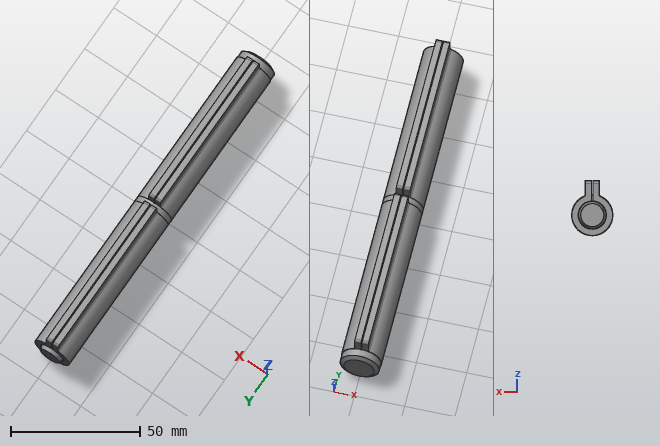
import cadquery as cq
import math


barrel_diameter = 16.0
barrel_bore = 11.0
sheet_thickness = (barrel_diameter - barrel_bore) / 2
leaf_length = 68.0
leg_gap = 0.5
leg_outer_x = leg_gap / 2 + sheet_thickness
overall_height = 21.3
leg_top_z = overall_height - barrel_diameter / 2
leg_root_radius = 0.7
leg_corner_radius = 1.0

pin_diameter = 10.7
tip_diameter = 9.0
tip_taper_length = 2.9
head_diameter = 15.5
head_length = 4.0
head_chamfer_length = 1.0
head_chamfer_depth = 1.7

washer_diameter = barrel_diameter
washer_thickness = 2.5

overall_length = 144.0
head_end_y = -overall_length / 2
tip_end_y = overall_length / 2
front_leaf_y = head_end_y + head_length
washer_y = front_leaf_y + leaf_length
back_leaf_y = washer_y + washer_thickness


def cylinder_along_y(diameter, start_y, length):
    """Cylinder on the pin axis that runs from start_y toward +Y."""
    plane = cq.Workplane("XZ", origin=(0, start_y, 0))
    return plane.circle(diameter / 2).extrude(-length)


def box_along_y(width, bottom_z, top_z, start_y, length):
    """Box centred on X = 0 that runs from start_y toward +Y."""
    size = (width, length, top_z - bottom_z)
    return cq.Workplane("XY", origin=(0, start_y, bottom_z)).box(*size, centered=(True, False, False))


def make_leaf(start_y):
    """Barrel with two legs, from start_y toward +Y."""
    legs = box_along_y(2 * leg_outer_x, 0, leg_top_z, start_y, leaf_length)
    legs = legs.faces(">Z").edges("|X").fillet(leg_corner_radius)
    leaf = cylinder_along_y(barrel_diameter, start_y, leaf_length).union(legs)

    root_z = math.sqrt((barrel_diameter / 2) ** 2 - leg_outer_x ** 2)
    mid_y = start_y + leaf_length / 2
    for root_x in (-leg_outer_x, leg_outer_x):
        root_edge = cq.selectors.NearestToPointSelector((root_x, mid_y, root_z))
        leaf = leaf.edges(root_edge).fillet(leg_root_radius)

    bore = cylinder_along_y(barrel_bore, start_y, leaf_length)
    slit = box_along_y(leg_gap, 0, leg_top_z, start_y, leaf_length)
    return leaf.cut(bore).cut(slit)


def make_washer():
    ring = cylinder_along_y(washer_diameter, washer_y, washer_thickness)
    return ring.cut(cylinder_along_y(barrel_bore, washer_y, washer_thickness))


def make_pin():
    """Headed pin, turned about the Y axis from its half profile."""
    head_radius = head_diameter / 2
    pin_radius = pin_diameter / 2
    half_profile = (
        cq.Workplane("XY")
        .moveTo(0, head_end_y)
        .lineTo(head_radius - head_chamfer_depth, head_end_y)
        .lineTo(head_radius, head_end_y + head_chamfer_length)
        .lineTo(head_radius, front_leaf_y)
        .lineTo(pin_radius, front_leaf_y)
        .lineTo(pin_radius, tip_end_y - tip_taper_length)
        .lineTo(tip_diameter / 2, tip_end_y)
        .lineTo(0, tip_end_y)
        .close()
    )
    return half_profile.revolve(360, (0, 0, 0), (0, 1, 0))


leaves = []
for leaf_start_y in (front_leaf_y, back_leaf_y):
    leaves.append(make_leaf(leaf_start_y))
washer = make_washer()
pin = make_pin()

result = cq.Compound.makeCompound([*[leaf.val() for leaf in leaves], washer.val(), pin.val()])